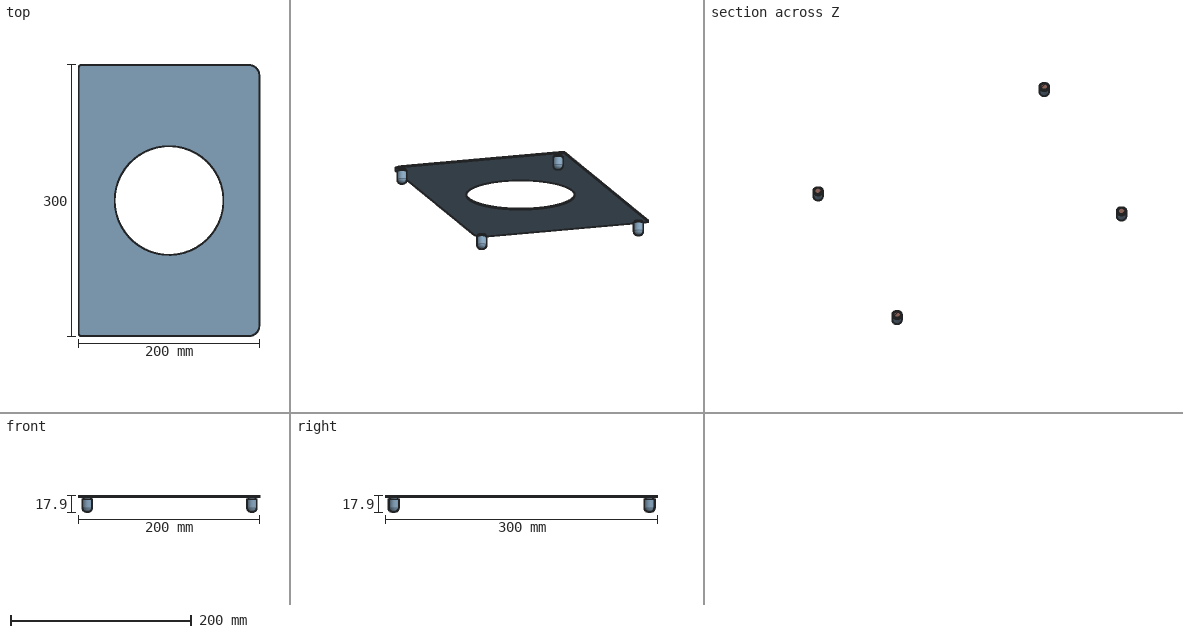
import cadquery as cq

plate_width = 200.0
plate_length = 300.0
plate_thickness = 1.5
left_corner_radius = 3.0
right_corner_radius = 12.0
opening_diameter = 120.0

overall_height = 17.9
left_foot_side_inset = 9.5
right_foot_side_inset = 8.5
left_foot_end_inset = 8.0
right_foot_end_inset = 9.0
foot_diameter = 11.0
neck_diameter = 8.5
neck_height = 1.9
tip_rounding = 5.0

foot_height = overall_height - plate_thickness
body_height = foot_height - neck_height - tip_rounding


def make_plate():
    """Rectangular sheet with rounded corners and a central round opening."""
    sheet = cq.Workplane("XY").box(
        plate_width, plate_length, plate_thickness, centered=(True, True, False)
    )
    sheet = sheet.translate((0, 0, -plate_thickness))
    sheet = sheet.edges("|Z and <X").fillet(left_corner_radius)
    sheet = sheet.edges("|Z and >X").fillet(right_corner_radius)
    return sheet.faces(">Z").workplane(origin=(0, 0, 0)).hole(opening_diameter)


def make_foot():
    """Post hanging from Z = 0: narrow neck, cylindrical body, rounded tip with a flat end."""
    neck_radius = neck_diameter / 2
    body_radius = foot_diameter / 2
    tip_radius = body_radius - tip_rounding
    body_top = -neck_height
    body_bottom = body_top - body_height
    return (
        cq.Workplane("XZ")
        .lineTo(neck_radius, 0)
        .lineTo(neck_radius, body_top)
        .lineTo(body_radius, body_top)
        .lineTo(body_radius, body_bottom)
        .tangentArcPoint((tip_radius, -foot_height), relative=False)
        .lineTo(0, -foot_height)
        .close()
        .revolve(360, (0, 0, 0), (0, 1, 0))
    )


def add_feet(plate):
    """Fuse a foot under each corner; the right pair stands slightly closer together in Y."""
    left_foot_x = left_foot_side_inset - plate_width / 2
    right_foot_x = plate_width / 2 - right_foot_side_inset
    left_foot_y = plate_length / 2 - left_foot_end_inset
    right_foot_y = plate_length / 2 - right_foot_end_inset
    foot = make_foot()
    for x, foot_y in ((left_foot_x, left_foot_y), (right_foot_x, right_foot_y)):
        for y in (-foot_y, foot_y):
            plate = plate.union(foot.translate((x, y, -plate_thickness)))
    return plate


result = add_feet(make_plate())